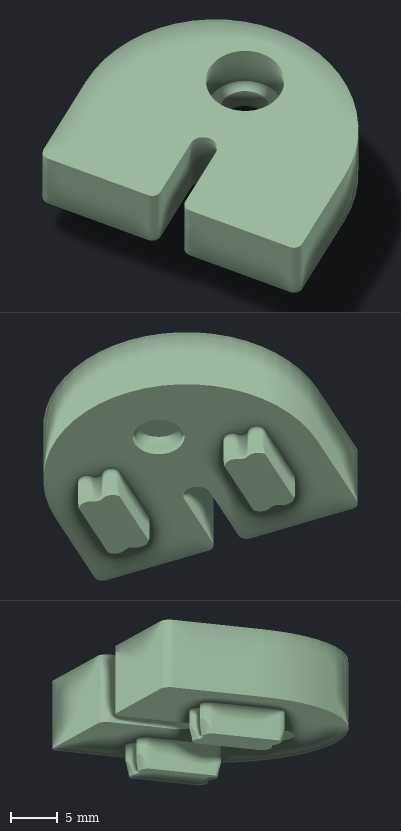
import cadquery as cq
import math

plate_radius = 15.4
plate_depth = 26.9
plate_thickness = 7.48
corner_radius = 1.0
bottom_edge_y = plate_radius - plate_depth

slot_width = 3.0
slot_length = 10.05

hole_diameter = 5.55
counterbore_diameter = 8.45
counterbore_depth = 5.0
hole_y = plate_radius - 7.92

leg_offset_x = 8.53
leg_width = 4.77
leg_length = 9.75
leg_height = 3.42
lobe_radius = 0.95
valley_half_width = 0.65

taper_axis_x = 1.25
taper_axis_y = 3.1
taper_foot_radius = 1.4
taper_angle = 13.0
untapered_half_width = 0.5


def make_plate():
    """Arched plate with the open slot and rounded corners, top face at z = plate_thickness."""
    plate = (
        cq.Workplane("XY")
        .moveTo(-plate_radius, bottom_edge_y)
        .lineTo(-plate_radius, 0)
        .threePointArc((0, plate_radius), (plate_radius, 0))
        .lineTo(plate_radius, bottom_edge_y)
        .close()
        .extrude(plate_thickness)
    )
    slot_end_y = bottom_edge_y + slot_length - slot_width / 2
    slot = (
        cq.Workplane("XY")
        .moveTo(-slot_width / 2, bottom_edge_y)
        .lineTo(-slot_width / 2, slot_end_y)
        .threePointArc((0, bottom_edge_y + slot_length), (slot_width / 2, slot_end_y))
        .lineTo(slot_width / 2, bottom_edge_y)
        .close()
        .extrude(plate_thickness)
    )
    plate = plate.cut(slot)
    plate = plate.faces("<Y").edges("|Z").fillet(corner_radius)
    return (
        plate.faces(">Z")
        .workplane(origin=(0, hole_y, plate_thickness))
        .cboreHole(hole_diameter, counterbore_diameter, counterbore_depth)
    )


def make_leg_bar():
    """Leg before tapering: each end is a smooth lobe, valley, lobe curve."""
    half_width = leg_width / 2
    half_length = leg_length / 2
    lobe_x = half_width - lobe_radius
    lobe_y = half_length - lobe_radius

    inflection_angle = math.asin((lobe_x - valley_half_width) / lobe_radius)
    inflection_y = lobe_y + lobe_radius * math.cos(inflection_angle)
    valley_radius = valley_half_width / math.sin(inflection_angle)
    valley_y = inflection_y - valley_radius * (1 - math.cos(inflection_angle))

    return (
        cq.Workplane("XY")
        .moveTo(-half_width, -lobe_y)
        .lineTo(-half_width, lobe_y)
        .threePointArc((-lobe_x, half_length), (-valley_half_width, inflection_y))
        .threePointArc((0, valley_y), (valley_half_width, inflection_y))
        .threePointArc((lobe_x, half_length), (half_width, lobe_y))
        .lineTo(half_width, -lobe_y)
        .threePointArc((lobe_x, -half_length), (valley_half_width, -inflection_y))
        .threePointArc((0, -valley_y), (-valley_half_width, -inflection_y))
        .threePointArc((-lobe_x, -half_length), (-half_width, -lobe_y))
        .close()
        .extrude(-leg_height)
    )


def make_leg():
    """Leg whose lobes are narrowed toward the foot by cones, one for each lobe."""
    leg = make_leg_bar()
    block_width = leg_width / 2 - untapered_half_width
    block_length = leg_length / 2 - taper_axis_y
    block_x = untapered_half_width + block_width / 2
    block_y = taper_axis_y + block_length / 2
    for side_x in (-1, 1):
        for side_y in (-1, 1):
            cone = (
                cq.Workplane("XY", origin=(side_x * taper_axis_x, side_y * taper_axis_y, -leg_height))
                .circle(taper_foot_radius)
                .extrude(leg_height, taper=-taper_angle)
            )
            lobe_block = (
                cq.Workplane("XY", origin=(side_x * block_x, side_y * block_y, 0))
                .rect(block_width, block_length)
                .extrude(-leg_height)
            )
            leg = leg.cut(lobe_block.cut(cone))
    return leg


result = make_plate()
for leg_x in (-leg_offset_x, leg_offset_x):
    result = result.union(make_leg().translate((leg_x, 0, 0)))